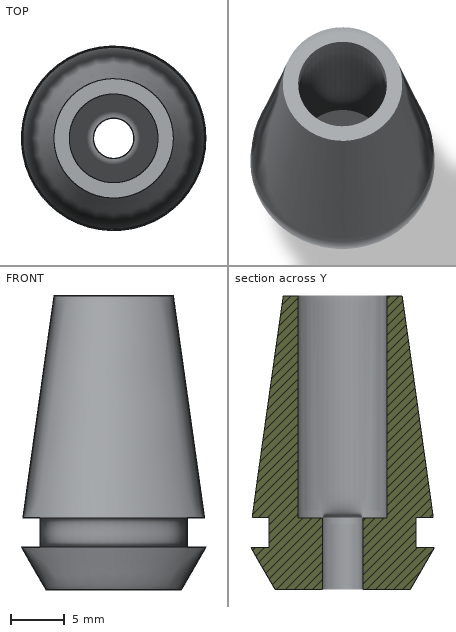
import cadquery as cq
import math

total_height = 27.5
nose_height = 4.0
groove_width = 2.73

nose_diameter = 17.25
nose_half_angle = 30.0

groove_diameter = 13.8

taper_diameter = 17.0
taper_half_angle = 8.0

bore_diameter = 8.3
hole_diameter = 3.75
bore_depth = total_height - nose_height - groove_width


def radius_after_taper(start_diameter, length, half_angle):
    """Radius left after a cone has narrowed over the given axial length."""
    return start_diameter / 2 - length * math.tan(math.radians(half_angle))


def make_body():
    """Revolve the solid outline of nose, groove and main taper."""
    groove_top = nose_height + groove_width
    taper_height = total_height - groove_top
    base_radius = radius_after_taper(nose_diameter, nose_height, nose_half_angle)
    top_radius = radius_after_taper(taper_diameter, taper_height, taper_half_angle)
    outline = [
        (0, 0),
        (base_radius, 0),
        (nose_diameter / 2, nose_height),
        (groove_diameter / 2, nose_height),
        (groove_diameter / 2, groove_top),
        (taper_diameter / 2, groove_top),
        (top_radius, total_height),
        (0, total_height),
    ]
    return cq.Workplane("XZ").polyline(outline).close().revolve(360, (0, 0), (0, 1))


def cut_stepped_bore(body):
    """Cut the wide bore to its floor and the narrow hole right through."""
    return body.faces(">Z").workplane().cboreHole(hole_diameter, bore_diameter, bore_depth)


result = cut_stepped_bore(make_body())